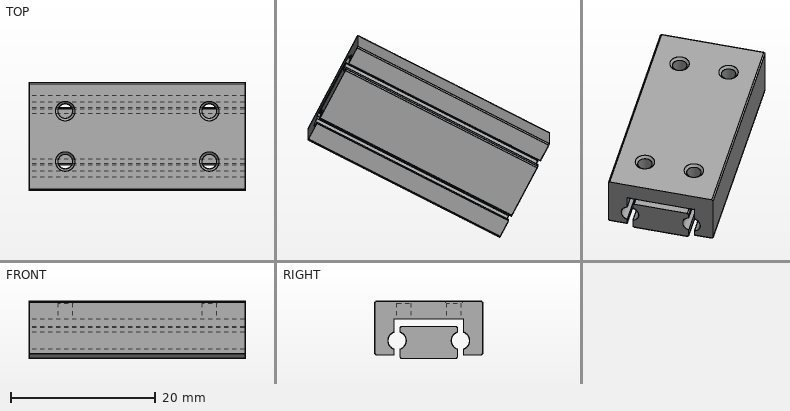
import cadquery as cq

length = 30.0
carriage_width = 15.0
overall_height = 8.0
carriage_height = 7.5
edge_chamfer = 0.2

roof_thickness = 2.5
channel_width = 9.6

rail_width = 8.0
rail_height = 4.5

track_diameter = 2.5
track_spacing = (channel_width + rail_width) / 2
track_height = 2.5

hole_diameter = 2.01
countersink_diameter = 2.7
countersink_angle = 90.0
hole_spacing_x = 20.0
hole_spacing_y = 7.0


def bar(width, bottom, top):
    """Plain bar along X, centred on X and Y, between two heights."""
    return cq.Workplane("XY").workplane(offset=bottom).box(
        length, width, top - bottom, centered=(True, True, False)
    )


def ball_tracks():
    """Two round bars along X that form the ball tracks."""
    return (
        cq.Workplane("YZ")
        .workplane(offset=-length / 2)
        .pushPoints([(side * track_spacing / 2, track_height) for side in (-1, 1)])
        .circle(track_diameter / 2)
        .extrude(length)
    )


def make_carriage():
    """Inverted U block with ball tracks and four countersunk holes."""
    bottom = overall_height - carriage_height
    channel_top = overall_height - roof_thickness
    body = bar(carriage_width, bottom, overall_height).edges("|X").chamfer(edge_chamfer)
    body = body.cut(bar(channel_width, bottom, channel_top))
    body = body.cut(ball_tracks())
    return (
        body.faces(">Z")
        .workplane(origin=(0, 0, overall_height))
        .rarray(hole_spacing_x, hole_spacing_y, 2, 2)
        .cskHole(hole_diameter, countersink_diameter, countersink_angle, depth=roof_thickness)
    )


def make_rail():
    """Straight rail with a ball track in each flank."""
    body = bar(rail_width, 0, rail_height).edges("|X").chamfer(edge_chamfer)
    return body.cut(ball_tracks())


carriage = make_carriage()
rail = make_rail()

result = cq.Compound.makeCompound([carriage.val(), rail.val()])